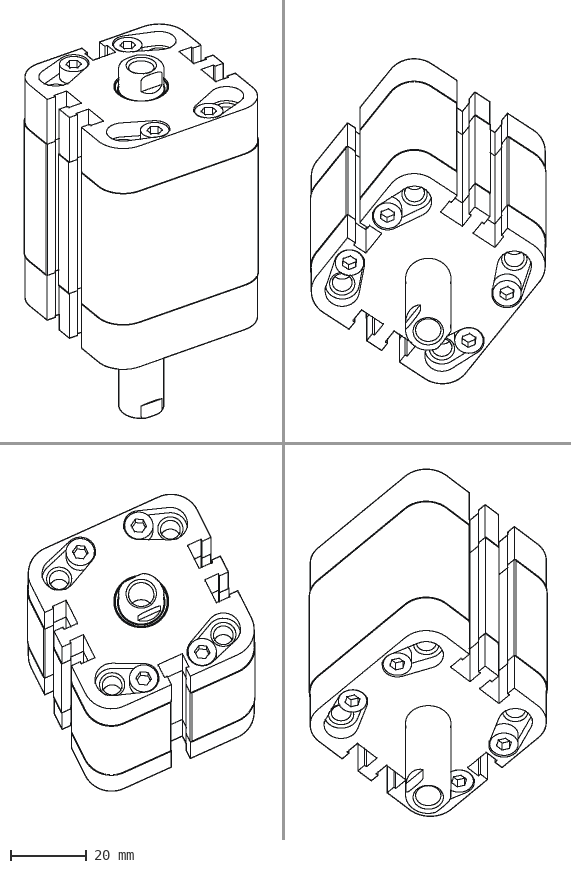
import cadquery as cq
import math


BARREL_WIDTH = 49.0
BARREL_LENGTH = 41.0
BARREL_CORNER_RADIUS = 7.8
CAP_WIDTH = 48.6
CAP_CORNER_RADIUS = 7.7
CAP_LENGTH = 14.0
CAP_INNER_Z = BARREL_LENGTH / 2
CAP_OUTER_Z = CAP_INNER_Z + CAP_LENGTH

SLOT_CAVITY_WIDTH = 7.1
SLOT_FLOOR = 17.75
SLOT_LEDGE = 21.7
MOUTH_WIDTH = 5.5
RIB_CAVITY_WIDTH = 3.5
RIB_MOUTH_WIDTH = 4.9
PAIR_MOUTH_EDGE = 8.2
PAIR_OFFSET = (RIB_CAVITY_WIDTH + SLOT_CAVITY_WIDTH) / 2
LIP_BEVEL = 0.35

ROD_DIAMETER = 12.0
ROD_TOP_Z = CAP_OUTER_Z + 6.5
ROD_BOTTOM_Z = -CAP_OUTER_Z - 31.5
ROD_END_FILLET = 1.1
FLATS_WIDTH = 10.0
FLATS_LENGTH = 4.4
ROD_BORE_DIAMETER = 6.65
ROD_BORE_MOUTH = 8.0
ROD_BORE_DEPTH = 15.0

RING_DIAMETER = 14.0
RING_LENGTH = 4.0
RING_SEAT_MOUTH = 14.5
RING_RECESS = (RING_SEAT_MOUTH - RING_DIAMETER) / 2
DISH_TOP_DIAMETER = 13.7
DISH_FLOOR_DIAMETER = 12.54
DISH_DEPTH = (DISH_TOP_DIAMETER - DISH_FLOOR_DIAMETER) / 2

POCKET_DEPTH = 4.4
POCKET_FLOOR_Z = CAP_OUTER_Z - POCKET_DEPTH
HOLE_OFFSET = 32.5 / 2
HOLE_END_RADIUS = 4.5
HOLE_DIAMETER = 5.2
HOLE_MOUTH_DIAMETER = 6.65
HOLE_DEPTH = 8.0
SCREW_X = 19.45
SCREW_Y = 8.55
SCREW_END_RADIUS = 4.0
SCREW_HEAD_DIAMETER = 7.5
SCREW_HEAD_HEIGHT = 4.0
SOCKET_WIDTH = 3.5
SOCKET_DEPTH = 3.0


def cylinder(diameter, z_bottom, length):
    return cq.Workplane("XY").workplane(offset=z_bottom).circle(diameter / 2).extrude(length)


def rounded_prism(width, corner_radius, z_bottom, length):
    """Square prism on the Z axis with rounded vertical edges."""
    block = cq.Workplane("XY").workplane(offset=z_bottom).rect(width, width).extrude(length)
    return block.edges("|Z").fillet(corner_radius)


def revolved(profile):
    """Solid of revolution about Z from (radius, z) points."""
    return cq.Workplane("XZ").polyline(profile).close().revolve(360, (0, 0), (0, 1))


def countersunk_hole(diameter, mouth_diameter, depth):
    """Cutting shape of a blind hole going down from Z = 0, with a 45 degree countersink."""
    radius = diameter / 2
    mouth_radius = mouth_diameter / 2
    sink = mouth_radius - radius
    return revolved([(0, 0), (mouth_radius, 0), (radius, -sink), (radius, -depth), (0, -depth)])


def slot_bar(x_min, x_max, y_min, y_max):
    """Box over the full length of the barrel and caps."""
    bar = cq.Workplane("XY").box(x_max - x_min, y_max - y_min, 2 * CAP_OUTER_Z)
    return bar.translate(((x_min + x_max) / 2, (y_min + y_max) / 2, 0))


def slot(centre, mouth_min, mouth_max):
    """T-slot open to -Y; the mouth limits are X positions."""
    half_cavity = SLOT_CAVITY_WIDTH / 2
    cavity = slot_bar(centre - half_cavity, centre + half_cavity, -SLOT_LEDGE, -SLOT_FLOOR)
    mouth = slot_bar(mouth_min, mouth_max, -BARREL_WIDTH, -SLOT_LEDGE)
    return cavity.union(mouth)


def lip_bevel(x):
    """Square bar turned on its corner, which bevels a mouth edge of the barrel at X = x."""
    side = LIP_BEVEL * math.sqrt(2)
    bar = cq.Workplane("XY").box(side, side, BARREL_LENGTH).rotate((0, 0, 0), (0, 0, 1), 45)
    return bar.translate((x, -BARREL_WIDTH / 2, 0))


def slot_voids(bevelled):
    """All five T-slots as one cutting shape."""
    half_mouth = MOUTH_WIDTH / 2
    single = slot(0, -half_mouth, half_mouth)
    paired = slot(PAIR_OFFSET, RIB_MOUTH_WIDTH / 2, PAIR_MOUTH_EDGE)
    if bevelled:
        single = single.union(lip_bevel(-half_mouth)).union(lip_bevel(half_mouth))
        paired = paired.union(lip_bevel(PAIR_MOUTH_EDGE))
    pair = paired.union(paired.mirror("YZ"))
    single_on_left = single.rotate((0, 0, 0), (0, 0, 1), -90)
    return pair.union(pair.mirror("XZ")).union(single_on_left)


def tangent_outline(x1, y1, r1, x2, y2, r2):
    """Two circles joined by their outer tangents, as a closed outline."""
    along = math.atan2(y2 - y1, x2 - x1)
    spread = math.acos((r1 - r2) / math.hypot(x2 - x1, y2 - y1))

    def on_first(angle):
        return (x1 + r1 * math.cos(angle), y1 + r1 * math.sin(angle))

    def on_second(angle):
        return (x2 + r2 * math.cos(angle), y2 + r2 * math.sin(angle))

    return (
        cq.Workplane("XY")
        .moveTo(*on_second(along - spread))
        .threePointArc(on_second(along), on_second(along + spread))
        .lineTo(*on_first(along + spread))
        .threePointArc(on_first(along + math.pi), on_first(along - spread))
        .close()
    )


def screw_head():
    """Socket head standing on the pocket floor."""
    across_corners = SOCKET_WIDTH / math.cos(math.pi / 6)
    socket_z = POCKET_FLOOR_Z + SCREW_HEAD_HEIGHT - SOCKET_DEPTH
    socket = cq.Workplane("XY").workplane(offset=socket_z).polygon(6, across_corners).extrude(SOCKET_DEPTH)
    head = cylinder(SCREW_HEAD_DIAMETER, POCKET_FLOOR_Z, SCREW_HEAD_HEIGHT).cut(socket)
    return head.translate((SCREW_X, SCREW_Y, 0))


def pocket_voids():
    """The four corner pockets, leaving the screw heads standing."""
    outline = tangent_outline(
        HOLE_OFFSET, HOLE_OFFSET, HOLE_END_RADIUS, SCREW_X, SCREW_Y, SCREW_END_RADIUS
    )
    pocket = outline.extrude(POCKET_DEPTH).translate((0, 0, POCKET_FLOOR_Z))
    hole = countersunk_hole(HOLE_DIAMETER, HOLE_MOUTH_DIAMETER, HOLE_DEPTH)
    hole = hole.translate((HOLE_OFFSET, HOLE_OFFSET, POCKET_FLOOR_Z))
    corner = pocket.union(hole).cut(screw_head())
    side = corner.union(corner.mirror("YZ"))
    return side.union(side.mirror("XZ"))


def make_barrel():
    barrel = rounded_prism(BARREL_WIDTH, BARREL_CORNER_RADIUS, -CAP_INNER_Z, BARREL_LENGTH)
    barrel = barrel.cut(slot_voids(bevelled=True))
    return barrel.cut(cylinder(ROD_DIAMETER, -CAP_INNER_Z, BARREL_LENGTH))


def make_cap():
    """End cap in the top position, before the ring seat is cut."""
    cap = rounded_prism(CAP_WIDTH, CAP_CORNER_RADIUS, CAP_INNER_Z, CAP_LENGTH)
    cap = cap.cut(slot_voids(bevelled=False))
    cap = cap.cut(cylinder(ROD_DIAMETER, CAP_INNER_Z, CAP_LENGTH))
    return cap.cut(pocket_voids())


def make_rod():
    """Rod with two wrench flats and a countersunk bore at each end."""
    rod = cylinder(ROD_DIAMETER, ROD_BOTTOM_Z, ROD_TOP_Z - ROD_BOTTOM_Z)
    rod = rod.faces(">Z or <Z").edges().fillet(ROD_END_FILLET)
    half_flats = FLATS_WIDTH / 2
    radius = ROD_DIAMETER / 2
    runout_z = -FLATS_LENGTH - (radius - half_flats)
    flat = (
        cq.Workplane("XZ")
        .polyline([(half_flats, 0), (radius, 0), (radius, runout_z), (half_flats, -FLATS_LENGTH)])
        .close()
        .extrude(radius, both=True)
    )
    bore = countersunk_hole(ROD_BORE_DIAMETER, ROD_BORE_MOUTH, ROD_BORE_DEPTH)
    end_cut = flat.union(flat.mirror("YZ")).union(bore)
    rod = rod.cut(end_cut.translate((0, 0, ROD_TOP_Z)))
    return rod.cut(end_cut.mirror("XY").translate((0, 0, ROD_BOTTOM_Z)))


def make_ring():
    """Ring with a conical dish in its top face around the rod."""
    top = CAP_OUTER_Z - RING_RECESS
    bottom = top - RING_LENGTH
    dish_floor = top - DISH_DEPTH
    return revolved([
        (ROD_DIAMETER / 2, bottom),
        (RING_DIAMETER / 2, bottom),
        (RING_DIAMETER / 2, top),
        (DISH_TOP_DIAMETER / 2, top),
        (DISH_FLOOR_DIAMETER / 2, dish_floor),
        (ROD_DIAMETER / 2, dish_floor),
    ])


barrel = make_barrel()
cap = make_cap()
bottom_cap = cap.mirror("XY")
ring_seat = countersunk_hole(RING_DIAMETER, RING_SEAT_MOUTH, RING_RECESS + RING_LENGTH)
top_cap = cap.cut(ring_seat.translate((0, 0, CAP_OUTER_Z)))
rod = make_rod()
ring = make_ring()

bodies = [barrel, top_cap, bottom_cap, rod, ring]
result = cq.Compound.makeCompound([body.solids().val() for body in bodies])